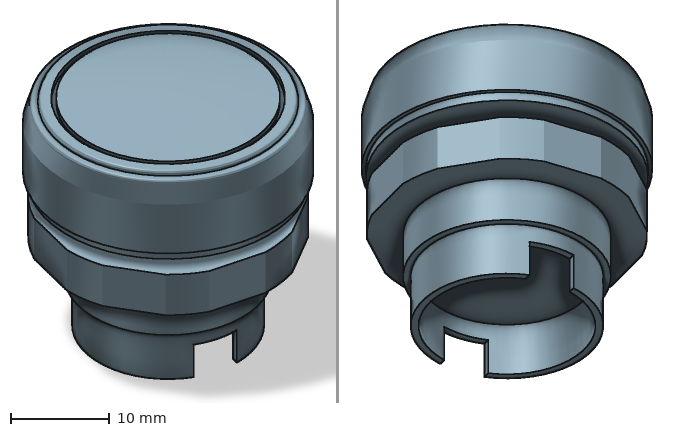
import cadquery as cq
import math

total_height = 28.8
skirt_top = 6.0
barrel_top = 18.0
flange_top = 19.0
bezel_side_top = 25.02
bezel_top = 27.5
rim_top = 28.02
dome_edge_height = rim_top

skirt_radius = 9.75
barrel_radius = 10.53
flange_radius = 14.3
bezel_radius = 14.75
bezel_taper_radius = 14.1
rim_radius = 13.22
rim_bore_radius = 11.85
dome_radius = 11.35

bezel_round = 0.38
rim_round = 0.45
dome_groove_depth = 0.6

skirt_wall = 0.8
slot_width = 5.07
slot_height = 4.0

nut_bottom = 11.0
nut_height = 5.02
nut_across_flats = 27.67
nut_corner_radius = 14.22
nut_sides = 8


def make_housing():
    """Revolved body: skirt, barrel, flange, tapered bezel, rim and domed cap."""
    groove_floor = rim_top - dome_groove_depth
    bezel_flat_radius = bezel_taper_radius - bezel_round
    arc_reach = math.sqrt(0.5)
    bezel_round_middle = (
        bezel_flat_radius + bezel_round * arc_reach,
        bezel_top - bezel_round * (1 - arc_reach),
    )
    rim_flat_radius = rim_radius - rim_round
    rim_round_middle = (
        rim_flat_radius + rim_round * arc_reach,
        rim_top - rim_round * (1 - arc_reach),
    )
    dome_rise = total_height - dome_edge_height
    sphere_radius = (dome_radius**2 + dome_rise**2) / (2 * dome_rise)
    half_angle = math.asin(dome_radius / sphere_radius) / 2
    dome_middle = (
        sphere_radius * math.sin(half_angle),
        total_height - sphere_radius * (1 - math.cos(half_angle)),
    )

    body = (
        cq.Workplane("XZ")
        .moveTo(0, 0)
        .lineTo(skirt_radius, 0)
        .lineTo(skirt_radius, skirt_top)
        .lineTo(barrel_radius, skirt_top)
        .lineTo(barrel_radius, barrel_top)
        .lineTo(flange_radius, barrel_top)
        .lineTo(flange_radius, flange_top)
        .lineTo(bezel_radius, flange_top)
        .lineTo(bezel_radius, bezel_side_top)
        .lineTo(bezel_taper_radius, bezel_top - bezel_round)
        .threePointArc(bezel_round_middle, (bezel_flat_radius, bezel_top))
        .lineTo(rim_radius, bezel_top)
        .lineTo(rim_radius, rim_top - rim_round)
        .threePointArc(rim_round_middle, (rim_flat_radius, rim_top))
        .lineTo(rim_bore_radius, rim_top)
        .lineTo(rim_bore_radius, groove_floor)
        .lineTo(dome_radius, groove_floor)
        .lineTo(dome_radius, dome_edge_height)
        .threePointArc(dome_middle, (0, total_height))
        .close()
        .revolve(360, (0, 0, 0), (0, 1, 0))
    )

    skirt_cavity = cq.Workplane("XY").circle(skirt_radius - skirt_wall).extrude(skirt_top)
    slot = cq.Workplane("XY").box(
        2 * barrel_radius, slot_width, slot_height, centered=(True, True, False)
    )
    return body.cut(skirt_cavity).cut(slot)


def make_nut():
    """Octagon trimmed by a circle at its corners and bored to fit the barrel."""
    corner_diameter = nut_across_flats / math.cos(math.pi / nut_sides)
    base = cq.Workplane("XY").workplane(offset=nut_bottom)
    octagon = (
        base.polygon(nut_sides, corner_diameter)
        .extrude(nut_height)
        .rotate((0, 0, 0), (0, 0, 1), 180 / nut_sides)
    )
    corner_trim = base.circle(nut_corner_radius).extrude(nut_height)
    bore = base.circle(barrel_radius).extrude(nut_height)
    return octagon.intersect(corner_trim).cut(bore)


housing = make_housing()
nut = make_nut()

result = cq.Compound.makeCompound([housing.val(), nut.val()])